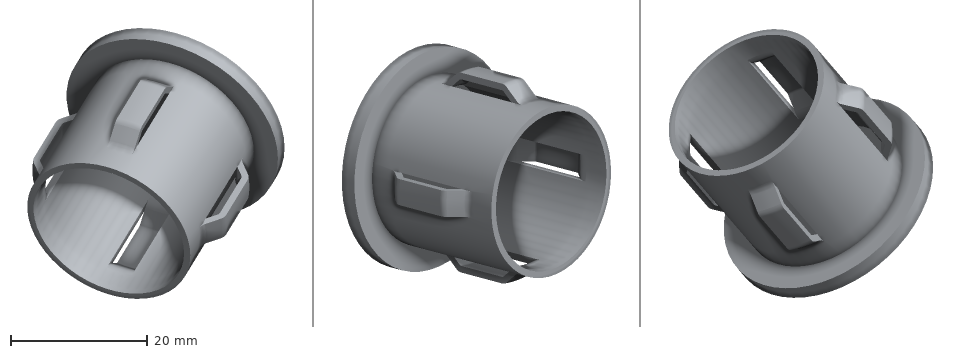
import cadquery as cq
import math

total_length = 26.2
flange_diameter = 33.7
flange_thickness = 2.5
tube_radius = 13.0
wall = 1.0

clip_count = 4
clip_width = 4.0
clip_length = 16.0
clip_start = 4.0
clip_rise = 2.45
ramp_run = 2.85
bend_radius = 1.5

ramp_angle = math.atan2(clip_rise, ramp_run)
bend_tangent = bend_radius * math.tan(ramp_angle / 2)
corner_shift = wall * math.tan(ramp_angle / 2)
clip_middle = clip_start + clip_length / 2
tube_length = total_length - flange_thickness


def ramp_points(foot_radius, foot_distance, foot_tangent, crest_tangent):
    """Bend ends (radius, distance from clip middle) of one ramp surface, from foot to crest."""
    rise = math.sin(ramp_angle)
    run = math.cos(ramp_angle)
    crest_radius = foot_radius + clip_rise
    crest_distance = foot_distance - ramp_run
    return [
        (foot_radius, foot_distance + foot_tangent),
        (foot_radius + foot_tangent * rise, foot_distance - foot_tangent * run),
        (crest_radius - crest_tangent * rise, crest_distance + crest_tangent * run),
        (crest_radius, crest_distance - crest_tangent),
    ]


def trace_surface(sketch, ramp, direction):
    """Draw one clip surface through its four bends, heading +Y (1) or -Y (-1)."""
    falling_ramp = [(radius, distance * direction) for radius, distance in ramp]
    rising_ramp = [(radius, -distance * direction) for radius, distance in ramp]
    foot_start, foot_end, crest_start, crest_end = rising_ramp
    return (
        sketch.lineTo(*foot_start)
        .tangentArcPoint(foot_end, relative=False)
        .lineTo(*crest_start)
        .tangentArcPoint(crest_end, relative=False)
        .lineTo(*falling_ramp[3])
        .tangentArcPoint(falling_ramp[2], relative=False)
        .lineTo(*falling_ramp[1])
        .tangentArcPoint(falling_ramp[0], relative=False)
    )


def make_body():
    """Tube closed at its far end by the flange disc."""
    tube = cq.Workplane("XZ").circle(tube_radius).circle(tube_radius - wall).extrude(-tube_length)
    flange = (
        cq.Workplane("XZ", origin=(0, tube_length, 0))
        .circle(flange_diameter / 2)
        .extrude(-flange_thickness)
    )
    return tube.union(flange)


def make_clip_zone():
    """Block along +X that bounds one clip and its opening in the tube wall."""
    inner_reach = tube_radius / 2
    outer_reach = flange_diameter / 2
    return (
        cq.Workplane("XY")
        .box(outer_reach - inner_reach, clip_length, clip_width)
        .translate(((outer_reach + inner_reach) / 2, clip_middle, 0))
    )


def make_clip():
    """Strip of constant wall thickness, revolved about the tube axis and cut to width."""
    outer_foot = clip_length / 2 - bend_tangent
    outer_ramp = ramp_points(tube_radius, outer_foot, bend_tangent, bend_tangent)
    inner_ramp = ramp_points(
        tube_radius - wall,
        outer_foot - corner_shift,
        bend_tangent + corner_shift,
        bend_tangent - corner_shift,
    )
    lead_in = clip_length / 2 + wall
    sketch = cq.Workplane("XY", origin=(0, clip_middle, 0)).moveTo(tube_radius, -lead_in)
    sketch = trace_surface(sketch, outer_ramp, 1)
    sketch = sketch.lineTo(tube_radius, lead_in).lineTo(tube_radius - wall, lead_in)
    sketch = trace_surface(sketch, inner_ramp, -1)
    profile = sketch.lineTo(tube_radius - wall, -lead_in).close()
    ring = profile.revolve(360, (0, 0, 0), (0, 1, 0))
    return ring.intersect(make_clip_zone())


body = make_body()
clip = make_clip()
clip_zone = make_clip_zone()
for index in range(clip_count):
    turn = index * 360 / clip_count
    body = body.cut(clip_zone.rotate((0, 0, 0), (0, 1, 0), turn))
    body = body.union(clip.rotate((0, 0, 0), (0, 1, 0), turn))

result = body